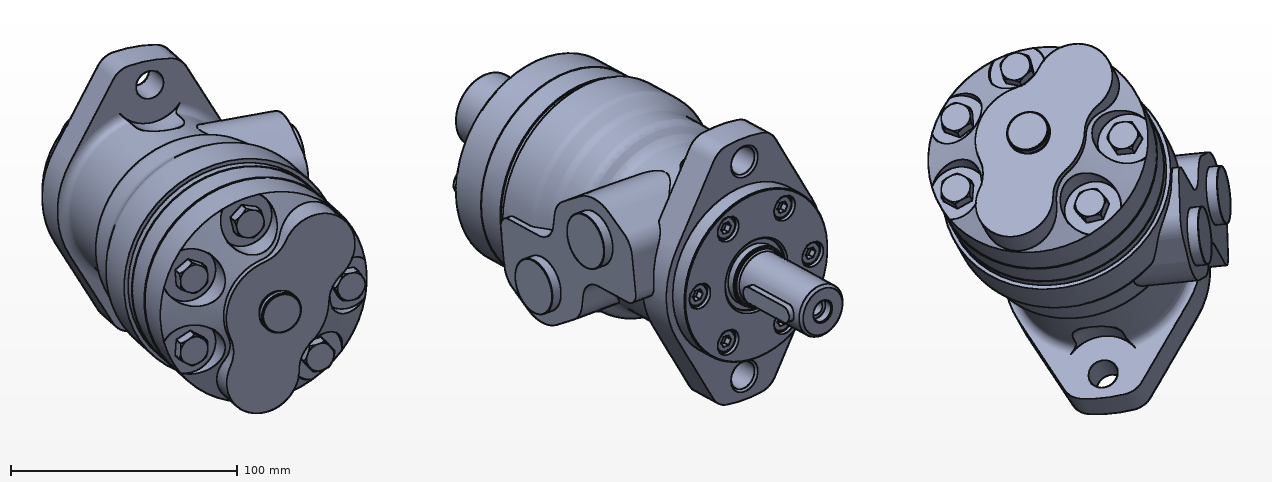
import cadquery as cq
import math


SHAFT_TIP_X = 0.0
COLLAR_X = 42.9
PILOT_X = 46.0
FLANGE_X = 54.5
FLANGE_BACK_X = 71.1
HOUSING_END_X = 159.5
SPACER_END_X = 163.3
GEAR_END_X = 177.0
COVER_RIM_X = 194.4
COVER_CONE_END_X = 206.5
COVER_END_X = 209.5
MOTOR_END_X = 214.3

MOTOR_DEPTH = 112.0

SHAFT_R = 25.0 / 2
SHAFT_CHAMFER = 1.3
COLLAR_R = 29.0 / 2
COLLAR_TAPER = 0.9
COLLAR_CHAMFER = 0.2
LIP_X = 44.4
CENTRE_HOLE_D = 10.0
CENTRE_CHAMFER_D = 11.0
CENTRE_HOLE_DEPTH = 4.3
CENTRE_DRILL_D = 6.6
CENTRE_DRILL_DEPTH = 12.9
DRILL_TIP_ANGLE = 118.0
KEY_X = 5.0
KEY_LENGTH = 32.0
KEY_WIDTH = 8.0
KEY_HEIGHT = 7.0
KEY_TOP_Y = 15.2

NECK_R = 40.3
MID_R = 47.0
BARREL_R = 104.0 / 2
NECK_FILLET = 4.0
STEP_INNER_FILLET = 7.7
STEP_OUTER_FILLET = 6.0
MID_STEP_X = 109.5
MID_STEP_ANGLE = 45.0
BARREL_STEP_X = 131.0
BARREL_STEP_ANGLE = 31.0

PILOT_R = 41.1
PILOT_CHAMFER = 0.5
FLANGE_R = 44.8
FLANGE_TIP_R = 65.0
FLANGE_SIDE_ANGLE = 30.0
FLANGE_CORNER_R = 10.7
MOUNT_HOLE_D = 13.3
MOUNT_HOLE_CHAMFER = 1.0
MOUNT_HOLE_Z = 53.1
BOLT_RELIEF_R = 18.5
BOLT_RELIEF_X = 80.0
SEAL_RECESS_R = 18.0
SEAL_RECESS_DEPTH = 2.1
SEAL_RECESS_CHAMFER = 0.9

SCREW_COUNT = 6
SCREW_CIRCLE_R = 32.4
SCREW_BORE_D = 12.0
SCREW_BORE_DEPTH = 2.1
SCREW_HEAD_D = 10.0
SCREW_HEAD_HEIGHT = 0.6
SCREW_SOCKET_FLATS = 5.0
SCREW_SOCKET_DEPTH = 3.2

BLOCK_X = 110.2
BLOCK_TOP_Y = 55.0
PORT_OFFSET_X = 18.0
PORT_OFFSET_Z = 18.2
PORT_LOBE_R = 19.5
PORT_LOBE_ANGLE = 31.4
BLOCK_HALF_LENGTH = 47.8
BLOCK_INNER_X = 11.5
BLOCK_WALL_ANGLE = 8.0
BLOCK_LEDGE_Z = 4.5
BLOCK_CORNER_R = 12.0
BLOCK_END_R = 5.5
BLOCK_INNER_R = 10.3
PORT_PLUG_D = 26.0
PORT_PLUG_TOP_Y = MOTOR_DEPTH - BARREL_R
PORT_PLUG_CHAMFER = 0.2

PLATE_R = 100.0 / 2
PLATE_CHAMFER = 0.32
COVER_BOSS_R = 24.9
LOBE_R = 17.5
LOBE_CENTRE_R = 32.0
LOBE_BLEND_R = 15.9
BOLT_COUNT = 7
BOLT_STEP = 360.0 / BOLT_COUNT
BOLT_CIRCLE_R = 40.0
BOLT_POCKET_R = 12.9
BOLT_HEAD_FLATS = 13.0
BOLT_HEAD_HEIGHT = 5.5
BOLT_HEAD_CHAMFER_D = 13.3
DRAIN_PLUG_R = 19.0 / 2
DRAIN_NECK_R = 18.0 / 2
DRAIN_NECK_LENGTH = 0.9
DRAIN_PLUG_CHAMFER = 0.54

LOBE_BOLTS = (1, 5)


def polar(radius, angle):
    """Point (y, z) at a radius from the shaft axis and an angle in degrees from +Y."""
    return radius * math.cos(math.radians(angle)), radius * math.sin(math.radians(angle))


def cross_section(x):
    """Plane across the shaft at x: local x is Y, local y is Z, and it extrudes towards +X."""
    return cq.Workplane("YZ", origin=(x, 0, 0))


def disc(start_x, end_x, radius, y=0.0, z=0.0):
    return cross_section(start_x).center(y, z).circle(radius).extrude(end_x - start_x)


def revolved(points):
    """Solid turned about the X axis from (x, radius) points."""
    return cq.Workplane("XY").polyline(points).close().revolve(360, (0, 0, 0), (1, 0, 0))


def hexagon(start_x, length, flats, y, z):
    corners_d = flats / math.cos(math.radians(30))
    return cross_section(start_x).center(y, z).polygon(6, corners_d).extrude(length)


def rim(x, radius):
    """Selector for the circular edge at a station, centred on the shaft axis."""
    margin = 0.1
    half = radius + margin
    return cq.selectors.BoxSelector((x - margin, -half, -half), (x + margin, half, half), boundingbox=True)



def shaft_outline():
    """Chamfered shaft with a tapered shoulder and a wider collar that runs into the housing."""
    return revolved([
        (SHAFT_TIP_X, 0),
        (SHAFT_TIP_X, SHAFT_R - SHAFT_CHAMFER),
        (SHAFT_TIP_X + SHAFT_CHAMFER, SHAFT_R),
        (COLLAR_X, SHAFT_R),
        (COLLAR_X + COLLAR_TAPER, SHAFT_R + COLLAR_TAPER),
        (LIP_X, SHAFT_R + COLLAR_TAPER),
        (LIP_X, COLLAR_R - COLLAR_CHAMFER),
        (LIP_X + COLLAR_CHAMFER, COLLAR_R),
        (FLANGE_BACK_X, COLLAR_R),
        (FLANGE_BACK_X, 0),
    ])


def centre_hole():
    """Chamfered centre hole with a smaller drilled hole behind it."""
    mouth_r = CENTRE_CHAMFER_D / 2
    hole_r = CENTRE_HOLE_D / 2
    drill_r = CENTRE_DRILL_D / 2
    tip_length = drill_r / math.tan(math.radians(DRILL_TIP_ANGLE / 2))
    return revolved([
        (SHAFT_TIP_X, 0),
        (SHAFT_TIP_X, mouth_r),
        (SHAFT_TIP_X + mouth_r - hole_r, hole_r),
        (SHAFT_TIP_X + CENTRE_HOLE_DEPTH, hole_r),
        (SHAFT_TIP_X + CENTRE_HOLE_DEPTH, drill_r),
        (SHAFT_TIP_X + CENTRE_DRILL_DEPTH, drill_r),
        (SHAFT_TIP_X + CENTRE_DRILL_DEPTH + tip_length, 0),
    ])


def make_key():
    """Round-ended parallel key on the +Y side of the shaft."""
    return (
        cq.Workplane("XZ", origin=(KEY_X + KEY_LENGTH / 2, KEY_TOP_Y, 0))
        .slot2D(KEY_LENGTH, KEY_WIDTH)
        .extrude(KEY_HEIGHT)
    )


def make_shaft(key):
    return shaft_outline().cut(centre_hole()).cut(key)



def barrel():
    """Turned barrel that steps up twice from the neck behind the flange."""
    mid_run = (MID_R - NECK_R) / math.tan(math.radians(MID_STEP_ANGLE))
    barrel_run = (BARREL_R - MID_R) / math.tan(math.radians(BARREL_STEP_ANGLE))
    mid_top_x = MID_STEP_X + mid_run
    barrel_top_x = BARREL_STEP_X + barrel_run
    body = revolved([
        (FLANGE_BACK_X, 0),
        (FLANGE_BACK_X, NECK_R),
        (MID_STEP_X, NECK_R),
        (mid_top_x, MID_R),
        (BARREL_STEP_X, MID_R),
        (barrel_top_x, BARREL_R),
        (HOUSING_END_X, BARREL_R),
        (HOUSING_END_X, 0),
    ])
    body = body.edges(rim(MID_STEP_X, NECK_R)).fillet(STEP_INNER_FILLET)
    body = body.edges(rim(mid_top_x, MID_R)).fillet(STEP_OUTER_FILLET)
    body = body.edges(rim(BARREL_STEP_X, MID_R)).fillet(STEP_INNER_FILLET)
    return body.edges(rim(barrel_top_x, BARREL_R)).fillet(STEP_OUTER_FILLET)


def neck_fillet():
    """Concave ring that blends the neck into the back of the flange."""
    bend = NECK_FILLET * (1 - math.sqrt(0.5))
    return (
        cq.Workplane("XY")
        .moveTo(FLANGE_BACK_X, 0)
        .lineTo(FLANGE_BACK_X, NECK_R + NECK_FILLET)
        .threePointArc(
            (FLANGE_BACK_X + bend, NECK_R + bend),
            (FLANGE_BACK_X + NECK_FILLET, NECK_R),
        )
        .lineTo(FLANGE_BACK_X + NECK_FILLET, 0)
        .close()
        .revolve(360, (0, 0, 0), (1, 0, 0))
    )


def bolt_relief(z):
    """Round-ended clearance for a mounting bolt behind the flange."""
    channel = disc(FLANGE_BACK_X, BOLT_RELIEF_X, BOLT_RELIEF_R, 0, z)
    return channel.union(cq.Workplane("XY").sphere(BOLT_RELIEF_R).translate((BOLT_RELIEF_X, 0, z)))


def flange():
    """Round plate with two tangent-sided ears that end in arcs about the shaft axis."""
    thickness = FLANGE_BACK_X - FLANGE_X
    touch_y, touch_z = polar(FLANGE_R, FLANGE_SIDE_ANGLE)
    apex_z = FLANGE_R / math.sin(math.radians(FLANGE_SIDE_ANGLE))
    ears = (
        cross_section(FLANGE_X)
        .polyline([
            (touch_y, touch_z),
            (0, apex_z),
            (-touch_y, touch_z),
            (-touch_y, -touch_z),
            (0, -apex_z),
            (touch_y, -touch_z),
        ])
        .close()
        .extrude(thickness)
        .intersect(disc(FLANGE_X, FLANGE_BACK_X, FLANGE_TIP_R))
    )
    corners = ears.edges("|X").filter(lambda edge: abs(edge.Center().z) > FLANGE_R)
    ears = ears.newObject(corners.vals()).fillet(FLANGE_CORNER_R)
    return ears.union(disc(FLANGE_X, FLANGE_BACK_X, FLANGE_R))


def mounting_hole(z):
    """Through hole in a flange ear, chamfered at its front mouth."""
    hole = disc(FLANGE_X, FLANGE_BACK_X, MOUNT_HOLE_D / 2, 0, z)
    mouth_r = MOUNT_HOLE_D / 2 + MOUNT_HOLE_CHAMFER
    cone = cq.Solid.makeCone(
        mouth_r,
        MOUNT_HOLE_D / 2,
        MOUNT_HOLE_CHAMFER,
        cq.Vector(FLANGE_X, 0, z),
        cq.Vector(1, 0, 0),
    )
    return hole.union(cq.Workplane(cone))


def pilot():
    return disc(PILOT_X, FLANGE_X, PILOT_R).faces("<X").edges().chamfer(PILOT_CHAMFER)


def port_lobe_points():
    """Outline of the lobe on the +Z side, from the block centre, going round from the end face."""
    side = math.radians(PORT_LOBE_ANGLE)
    fall = math.tan(side)
    lean = math.tan(math.radians(BLOCK_WALL_ANGLE))
    shoulder_z = PORT_OFFSET_Z + PORT_LOBE_R * math.cos(side)
    reach = PORT_LOBE_R * math.sin(side)
    left_x = -PORT_OFFSET_X - reach
    right_x = -PORT_OFFSET_X + reach

    base_drop = shoulder_z - (left_x + BLOCK_HALF_LENGTH) * fall + BLOCK_LEDGE_Z
    end_rise = base_drop / (1 - lean * fall)
    end_corner = (-BLOCK_HALF_LENGTH + end_rise * lean, end_rise - BLOCK_LEDGE_Z)
    inner_drop = shoulder_z - (BLOCK_INNER_X - right_x) * fall - BLOCK_LEDGE_Z
    inner_rise = inner_drop / (1 - lean * fall)
    inner_corner = (BLOCK_INNER_X - inner_rise * lean, inner_rise + BLOCK_LEDGE_Z)

    return {
        "end corner": end_corner,
        "left shoulder": (left_x, shoulder_z),
        "crown": (-PORT_OFFSET_X, PORT_OFFSET_Z + PORT_LOBE_R),
        "right shoulder": (right_x, shoulder_z),
        "inner corner": inner_corner,
        "inner foot": (BLOCK_INNER_X, BLOCK_LEDGE_Z),
        "ledge end": (BLOCK_HALF_LENGTH, BLOCK_LEDGE_Z),
    }


def upright_edges(point):
    """Selector for the block edge along Y at a point and for its twin half a turn away."""
    margin = 0.1
    boxes = []
    for sign in (1, -1):
        x = BLOCK_X + sign * point[0]
        z = sign * point[1]
        low = (x - margin, -margin, z - margin)
        high = (x + margin, BLOCK_TOP_Y + margin, z + margin)
        boxes.append(cq.selectors.BoxSelector(low, high, boundingbox=True))
    return boxes[0] + boxes[1]


def port_block():
    """Block on the +Y side, unchanged by half a turn about its own centre."""
    points = port_lobe_points()
    outline = cq.Workplane("XZ", origin=(BLOCK_X, BLOCK_TOP_Y, 0))
    outline = outline.moveTo(-BLOCK_HALF_LENGTH, -BLOCK_LEDGE_Z)
    for sign in (1, -1):
        turned = {name: (sign * x, sign * z) for name, (x, z) in points.items()}
        outline = (
            outline.lineTo(*turned["end corner"])
            .lineTo(*turned["left shoulder"])
            .threePointArc(turned["crown"], turned["right shoulder"])
            .lineTo(*turned["inner corner"])
            .lineTo(*turned["inner foot"])
            .lineTo(*turned["ledge end"])
        )
    block = outline.close().extrude(BLOCK_TOP_Y)
    corner_radii = {
        "end corner": BLOCK_CORNER_R,
        "inner corner": BLOCK_CORNER_R,
        "inner foot": BLOCK_INNER_R,
        "ledge end": BLOCK_END_R,
    }
    for name, radius in corner_radii.items():
        block = block.edges(upright_edges(points[name])).fillet(radius)
    return block


def port_plugs():
    """A round plug standing proud of each port lobe."""
    return (
        cq.Workplane("XZ", origin=(BLOCK_X, PORT_PLUG_TOP_Y, 0))
        .pushPoints([(-PORT_OFFSET_X, PORT_OFFSET_Z), (PORT_OFFSET_X, -PORT_OFFSET_Z)])
        .circle(PORT_PLUG_D / 2)
        .extrude(PORT_PLUG_TOP_Y - BLOCK_TOP_Y)
        .faces(">Y")
        .edges()
        .chamfer(PORT_PLUG_CHAMFER)
    )


def screw_recess(y, z):
    """Counterbore that leaves a socket-head screw standing in it."""
    floor_x = PILOT_X + SCREW_BORE_DEPTH
    head_x = floor_x - SCREW_HEAD_HEIGHT
    bore = disc(PILOT_X, floor_x, SCREW_BORE_D / 2, y, z)
    head = disc(head_x, floor_x, SCREW_HEAD_D / 2, y, z)
    socket = hexagon(head_x, SCREW_SOCKET_DEPTH, SCREW_SOCKET_FLATS, y, z)
    return bore.cut(head).union(socket)


def seal_recess():
    recess_end_x = PILOT_X + SEAL_RECESS_DEPTH
    inner_r = SEAL_RECESS_R - SEAL_RECESS_CHAMFER
    return revolved([
        (PILOT_X, 0),
        (PILOT_X, SEAL_RECESS_R),
        (PILOT_X + SEAL_RECESS_CHAMFER, inner_r),
        (recess_end_x, inner_r),
        (recess_end_x, 0),
    ])


def make_housing():
    housing = barrel().union(neck_fillet()).union(port_block()).union(port_plugs())
    for z in (MOUNT_HOLE_Z, -MOUNT_HOLE_Z):
        housing = housing.cut(bolt_relief(z))
    housing = housing.union(flange()).union(pilot())
    for z in (MOUNT_HOLE_Z, -MOUNT_HOLE_Z):
        housing = housing.cut(mounting_hole(z))
    for i in range(SCREW_COUNT):
        y, z = polar(SCREW_CIRCLE_R, i * 360.0 / SCREW_COUNT)
        housing = housing.cut(screw_recess(y, z))
    return housing.cut(seal_recess()).cut(disc(PILOT_X, FLANGE_BACK_X, COLLAR_R))



def make_spacer():
    return disc(HOUSING_END_X, SPACER_END_X, PLATE_R)


def make_gear_ring():
    return disc(SPACER_END_X, GEAR_END_X, PLATE_R).edges().chamfer(PLATE_CHAMFER)



def blend_offset():
    """Angle and radius of the blend centre that touches both the boss and a lobe."""
    centre_r = COVER_BOSS_R + LOBE_BLEND_R
    to_lobe = LOBE_R + LOBE_BLEND_R
    cosine = (centre_r**2 + LOBE_CENTRE_R**2 - to_lobe**2) / (2 * centre_r * LOBE_CENTRE_R)
    return math.degrees(math.acos(cosine)), centre_r


def cover_lobe(angle):
    """Full-height lobe with concave blends into the central boss."""
    height = COVER_END_X - COVER_RIM_X
    spread, blend_r = blend_offset()
    lobe = polar(LOBE_CENTRE_R, angle)
    blends = [polar(blend_r, angle + side * spread) for side in (-1, 1)]
    web = (
        cross_section(COVER_RIM_X)
        .polyline([(0, 0), blends[0], lobe, blends[1]])
        .close()
        .extrude(height)
    )
    for y, z in blends:
        web = web.cut(disc(COVER_RIM_X, COVER_END_X, LOBE_BLEND_R, y, z))
    return web.union(disc(COVER_RIM_X, COVER_END_X, LOBE_R, *lobe))


def bolt_head(y, z, angle):
    """Hexagon head with a chamfered top, one corner pointing away from the shaft axis."""
    end_x = COVER_RIM_X + BOLT_HEAD_HEIGHT
    head = hexagon(COVER_RIM_X, BOLT_HEAD_HEIGHT, BOLT_HEAD_FLATS, 0, 0)
    head = head.rotate((0, 0, 0), (1, 0, 0), angle).translate((0, y, z))
    corner_r = BOLT_HEAD_FLATS / 2 / math.cos(math.radians(30))
    cap = disc(COVER_RIM_X, end_x, corner_r, y, z).faces(">X").edges()
    return head.intersect(cap.chamfer(corner_r - BOLT_HEAD_CHAMFER_D / 2))


def drain_plug():
    neck_end_x = COVER_END_X + DRAIN_NECK_LENGTH
    return revolved([
        (COVER_END_X, 0),
        (COVER_END_X, DRAIN_NECK_R),
        (neck_end_x, DRAIN_NECK_R),
        (neck_end_x + DRAIN_PLUG_CHAMFER, DRAIN_PLUG_R),
        (MOTOR_END_X - DRAIN_PLUG_CHAMFER, DRAIN_PLUG_R),
        (MOTOR_END_X, DRAIN_PLUG_R - DRAIN_PLUG_CHAMFER),
        (MOTOR_END_X, 0),
    ])


def make_end_cover():
    cover = revolved([
        (GEAR_END_X, 0),
        (GEAR_END_X, PLATE_R),
        (COVER_RIM_X, PLATE_R),
        (COVER_CONE_END_X, COVER_BOSS_R),
        (COVER_END_X, COVER_BOSS_R),
        (COVER_END_X, 0),
    ])
    for i in LOBE_BOLTS:
        cover = cover.union(cover_lobe(i * BOLT_STEP))
    for i in range(BOLT_COUNT):
        if i in LOBE_BOLTS:
            continue
        y, z = polar(BOLT_CIRCLE_R, i * BOLT_STEP)
        cover = cover.cut(disc(COVER_RIM_X, COVER_END_X, BOLT_POCKET_R, y, z))
        cover = cover.union(bolt_head(y, z, i * BOLT_STEP))
    return cover.union(drain_plug())


key = make_key()
shaft = make_shaft(key)
housing = make_housing()
spacer = make_spacer()
gear_ring = make_gear_ring()
end_cover = make_end_cover()

result = cq.Compound.makeCompound([
    shaft.val(),
    key.val(),
    housing.val(),
    spacer.val(),
    gear_ring.val(),
    end_cover.val(),
])